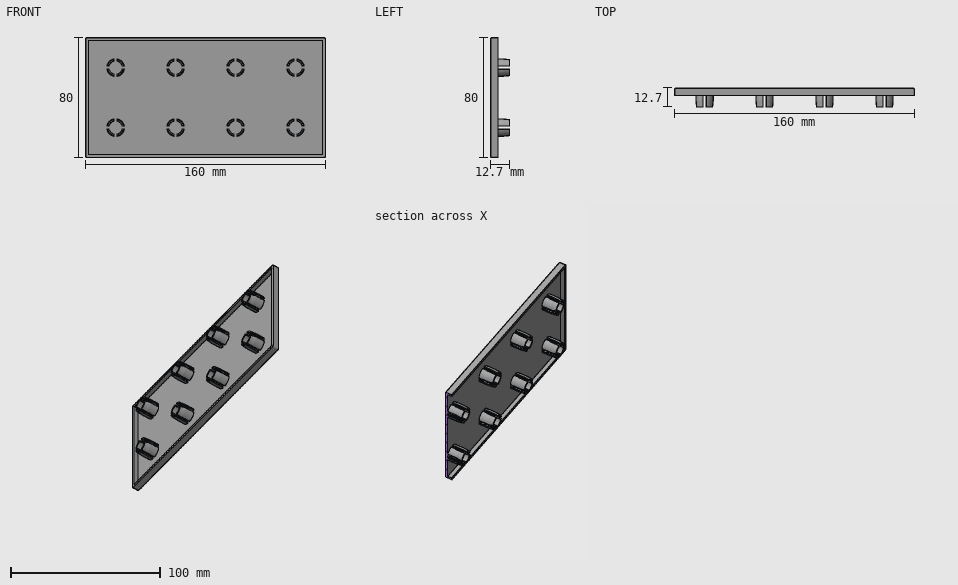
import cadquery as cq

length = 160.0
height = 80.0
plate_thickness = 5.0
wall = 2.0
pocket_depth = 3.0
edge_radius = 1.0

total_depth = 12.7
pin_pitch = 40.0
pin_columns = 4
pin_rows = 2
pin_radius = 5.87
tip_radius = 5.45
bore_radius = 4.5
slot_width = 2.0
taper_length = 4.2

floor_thickness = plate_thickness - pocket_depth
pin_length = total_depth - floor_thickness
straight_length = pin_length - taper_length


def block_on_floor(size_x, size_z, depth):
    """Centred block that rises from the pocket floor toward -Y."""
    return (
        cq.Workplane("XZ", origin=(0, -floor_thickness, 0))
        .rect(size_x, size_z)
        .extrude(depth)
    )


def make_plate():
    """Tray with rounded corners and a rounded back edge."""
    plate = (
        cq.Workplane("XZ")
        .rect(length, height)
        .extrude(plate_thickness)
        .edges("|Y or >Y")
        .fillet(edge_radius)
    )
    return plate.cut(block_on_floor(length - 2 * wall, height - 2 * wall, pocket_depth))


def make_pin():
    """Hollow pin along -Y with a tapered end, split into four fingers by crossed slots."""
    sleeve = (
        cq.Workplane("XY", origin=(0, -floor_thickness, 0))
        .moveTo(bore_radius, 0)
        .lineTo(pin_radius, 0)
        .lineTo(pin_radius, -straight_length)
        .lineTo(tip_radius, -pin_length)
        .lineTo(bore_radius, -pin_length)
        .close()
        .revolve(360, (0, 0, 0), (0, 1, 0))
    )
    slot_span = 2 * pin_radius
    vertical_slot = block_on_floor(slot_width, slot_span, pin_length)
    horizontal_slot = block_on_floor(slot_span, slot_width, pin_length)
    return sleeve.cut(vertical_slot).cut(horizontal_slot)


def centred_positions(count):
    """Positions of evenly pitched pins, centred on zero."""
    return [(index - (count - 1) / 2) * pin_pitch for index in range(count)]


result = make_plate()
pin = make_pin()
for x in centred_positions(pin_columns):
    for z in centred_positions(pin_rows):
        result = result.union(pin.translate((x, 0, z)))